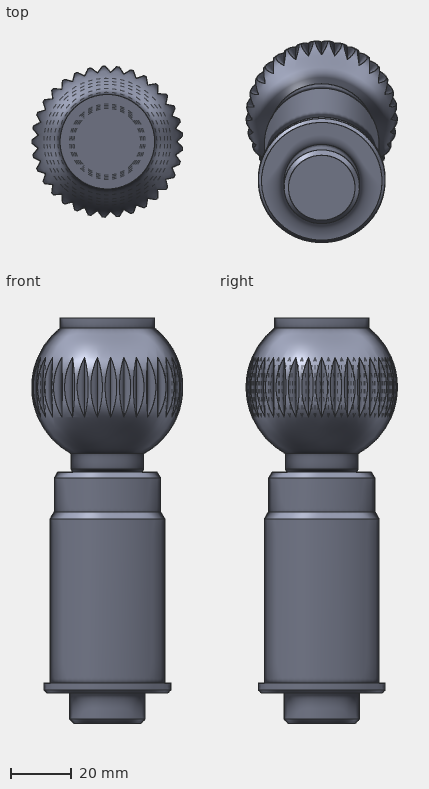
import cadquery as cq
import math

TOTAL_HEIGHT = 134.0
COLLAR_BOTTOM = 10.0
COLLAR_TOP = 13.4
SHOULDER_BOTTOM = 67.5
SHOULDER_TOP = 70.0
SLEEVE_TOP = 83.1

PIN_RADIUS = 24.9 / 2
PIN_CHAMFER = 1.5
COLLAR_RADIUS = 42.0 / 2
COLLAR_CHAMFER = 1.1
SLEEVE_RADIUS = 37.9 / 2
SLEEVE_NECK_RADIUS = 35.1 / 2
TOP_CHAMFER_HEIGHT = 2.0
TOP_CHAMFER_WIDTH = 1.2

BALL_RADIUS = 50.0 / 2
BALL_CENTRE = 111.1
CAP_RADIUS = 31.2 / 2
STEM_RADIUS = 24.0 / 2
STEM_CHAMFER_HEIGHT = 1.0
STEM_CHAMFER_WIDTH = 0.5

GROOVE_COUNT = 33
GROOVE_DEPTH = 2.0
GROOVE_ANGLE = 90.0
CUTTER_OVERSHOOT = 1.3


def revolve_about_z(profile):
    """Turn a profile drawn on XZ (radius, height) into a solid of revolution about Z."""
    return profile.close().revolve(360, (0, 0, 0), (0, 1, 0))


def ball_height_at(radius):
    """Height above the ball centre at which the sphere has the given radius."""
    return math.sqrt(BALL_RADIUS**2 - radius**2)


def make_sleeve():
    """Stepped sleeve with a collar at its foot and a chamfered pin below it."""
    profile = (
        cq.Workplane("XZ")
        .moveTo(0, 0)
        .lineTo(PIN_RADIUS - PIN_CHAMFER, 0)
        .lineTo(PIN_RADIUS, PIN_CHAMFER)
        .lineTo(PIN_RADIUS, COLLAR_BOTTOM)
        .lineTo(COLLAR_RADIUS - COLLAR_CHAMFER, COLLAR_BOTTOM)
        .lineTo(COLLAR_RADIUS, COLLAR_BOTTOM + COLLAR_CHAMFER)
        .lineTo(COLLAR_RADIUS, COLLAR_TOP)
        .lineTo(SLEEVE_RADIUS, COLLAR_TOP)
        .lineTo(SLEEVE_RADIUS, SHOULDER_BOTTOM)
        .lineTo(SLEEVE_NECK_RADIUS, SHOULDER_TOP)
        .lineTo(SLEEVE_NECK_RADIUS, SLEEVE_TOP - TOP_CHAMFER_HEIGHT)
        .lineTo(SLEEVE_NECK_RADIUS - TOP_CHAMFER_WIDTH, SLEEVE_TOP)
        .lineTo(0, SLEEVE_TOP)
    )
    return revolve_about_z(profile)


def make_knob_blank():
    """Plain ball with a flat round cap above and a chamfered stem standing on the sleeve."""
    ball_bottom = BALL_CENTRE - ball_height_at(STEM_RADIUS)
    cap_bottom = BALL_CENTRE + ball_height_at(CAP_RADIUS)
    profile = (
        cq.Workplane("XZ")
        .moveTo(0, SLEEVE_TOP)
        .lineTo(STEM_RADIUS - STEM_CHAMFER_WIDTH, SLEEVE_TOP)
        .lineTo(STEM_RADIUS, SLEEVE_TOP + STEM_CHAMFER_HEIGHT)
        .lineTo(STEM_RADIUS, ball_bottom)
        .threePointArc((BALL_RADIUS, BALL_CENTRE), (CAP_RADIUS, cap_bottom))
        .lineTo(CAP_RADIUS, TOTAL_HEIGHT)
        .lineTo(0, TOTAL_HEIGHT)
    )
    return revolve_about_z(profile)


def make_groove_cutter():
    """Triangular prism on the +X side that cuts one V groove centred on the ball's equator."""
    root_radius = BALL_RADIUS - GROOVE_DEPTH
    outer_radius = BALL_RADIUS + CUTTER_OVERSHOOT
    half_width = (outer_radius - root_radius) * math.tan(math.radians(GROOVE_ANGLE / 2))
    half_length = ball_height_at(root_radius) + CUTTER_OVERSHOOT
    return (
        cq.Workplane("XY", origin=(0, 0, BALL_CENTRE))
        .moveTo(root_radius, 0)
        .lineTo(outer_radius, half_width)
        .lineTo(outer_radius, -half_width)
        .close()
        .extrude(half_length, both=True)
    )


def make_knob():
    """Ball knob with V grooves evenly spaced from the +X direction."""
    knob = make_knob_blank()
    cutter = make_groove_cutter()
    for index in range(GROOVE_COUNT):
        angle = index * 360 / GROOVE_COUNT
        knob = knob.cut(cutter.rotate((0, 0, 0), (0, 0, 1), angle))
    return knob


sleeve = make_sleeve()
knob = make_knob()

result = cq.Compound.makeCompound([sleeve.val(), knob.solids().val()])